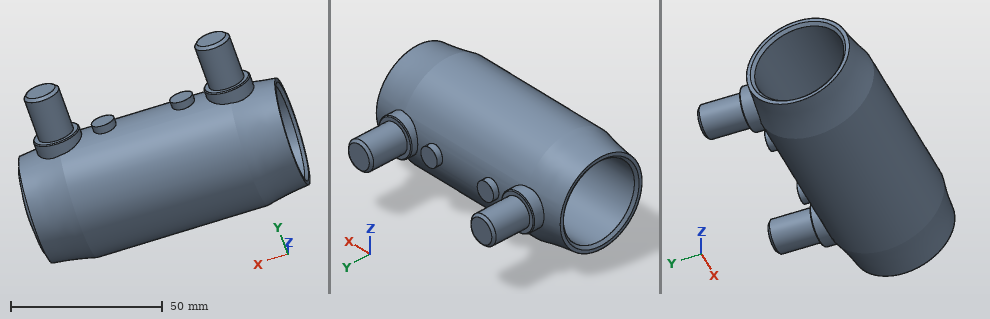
import cadquery as cq
import math

sleeve_length = 88.9
sleeve_radius = 21.0
end_radius = 18.4
taper_length = 14.8
taper_hollow = 0.3

bore_radius = 15.9
mouth_radius = 17.0
mouth_depth = 1.1

total_length = 91.6
stub_inner_radius = 14.2
sleeve_middle = sleeve_length / 2
stub_start = sleeve_middle
cap_shoulder_radius = 15.1
cap_shoulder_x = sleeve_length + 1.1
cap_corner_bulge = 0.2
cap_thickness = bore_radius - stub_inner_radius
dome_rise = total_length - cap_shoulder_x
dome_radius = (cap_shoulder_radius**2 + dome_rise**2) / (2 * dome_rise)
dome_centre_x = total_length - dome_radius

terminal_radius = 6.05
terminal_top = 40.05
terminal_chamfer = 1.0
collar_radius = 8.0
collar_top = 23.9
collar_chamfer = 0.4
peg_radius = 3.9
peg_top = 23.4
peg_spacing = 27.2


def revolve_about_x(profile):
    return profile.close().revolve(360, (0, 0, 0), (1, 0, 0))


def post(x, radius, top):
    """Round post along +Y, rooted on the sleeve axis."""
    base = cq.Workplane("XZ", origin=(x, 0, 0))
    return base.circle(radius).extrude(-top)


def dome_x(height, sphere_radius):
    """X of a dome, centred with the cap, at the given height off the axis."""
    return dome_centre_x + math.sqrt(sphere_radius**2 - height**2)


def make_outside():
    """Solid barrel with a slightly hollow taper at each end and the domed cap beyond it."""
    taper_middle_radius = (sleeve_radius + end_radius) / 2 - taper_hollow
    half_taper = taper_length / 2
    dome_mid_height = cap_shoulder_radius / 2
    profile = (
        cq.Workplane("XY")
        .lineTo(0, end_radius)
        .threePointArc((half_taper, taper_middle_radius), (taper_length, sleeve_radius))
        .lineTo(sleeve_length - taper_length, sleeve_radius)
        .threePointArc(
            (sleeve_length - half_taper, taper_middle_radius),
            (sleeve_length, end_radius),
        )
        .lineTo(sleeve_length, bore_radius)
        .threePointArc(
            (
                (sleeve_length + cap_shoulder_x) / 2 + cap_corner_bulge,
                (bore_radius + cap_shoulder_radius) / 2 + cap_corner_bulge,
            ),
            (cap_shoulder_x, cap_shoulder_radius),
        )
        .threePointArc((dome_x(dome_mid_height, dome_radius), dome_mid_height), (total_length, 0))
    )
    return revolve_about_x(profile)


def make_cavity():
    """Flared bore, stepping down to the stub's inside and ending in a dome."""
    inner_dome_radius = dome_radius - cap_thickness
    dome_mid_height = stub_inner_radius / 2
    profile = (
        cq.Workplane("XY")
        .lineTo(0, mouth_radius)
        .lineTo(mouth_depth, bore_radius)
        .lineTo(stub_start, bore_radius)
        .lineTo(stub_start, stub_inner_radius)
        .lineTo(dome_x(stub_inner_radius, inner_dome_radius), stub_inner_radius)
        .threePointArc(
            (dome_x(dome_mid_height, inner_dome_radius), dome_mid_height),
            (total_length - cap_thickness, 0),
        )
    )
    return revolve_about_x(profile)


body = make_outside()

for terminal_x in (taper_length, sleeve_length - taper_length):
    collar = post(terminal_x, collar_radius, collar_top).faces(">Y").chamfer(collar_chamfer)
    pin = post(terminal_x, terminal_radius, terminal_top).faces(">Y").chamfer(terminal_chamfer)
    body = body.union(collar).union(pin)

for peg_x in (sleeve_middle - peg_spacing / 2, sleeve_middle + peg_spacing / 2):
    body = body.union(post(peg_x, peg_radius, peg_top))

result = body.cut(make_cavity())